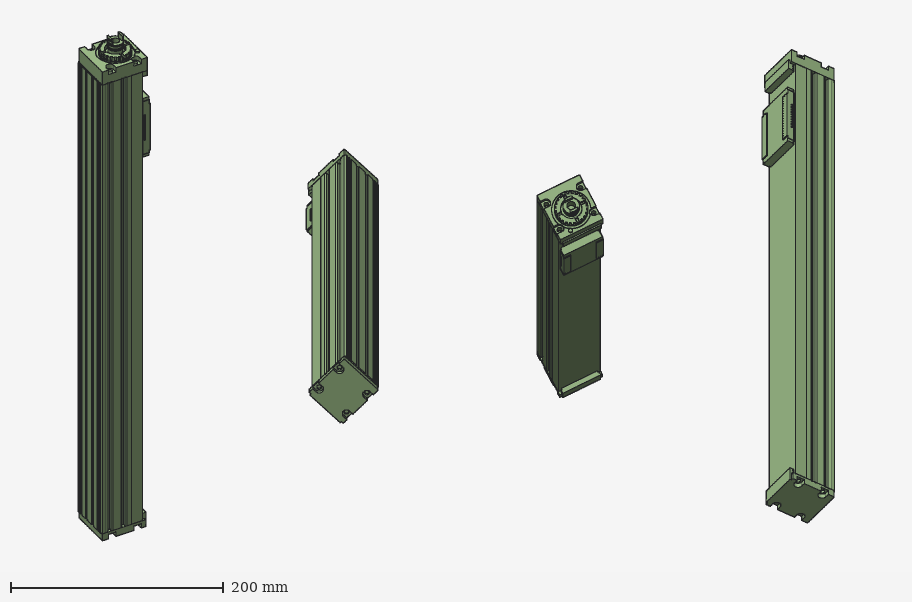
import cadquery as cq

WIDTH = 45.0
HALF_WIDTH = WIDTH / 2
TOTAL_HEIGHT = 554.2

CAP_FRONT_Y = 1.2
TOP_CAP_BACK_Y = 50.0
BOTTOM_CAP_BACK_Y = 48.5
BOTTOM_CAP_HEIGHT = 8.0
TOP_CAP_HEIGHT = 15.0
TOP_CAP_TOP_Z = 535.5
TOP_CAP_BOTTOM_Z = TOP_CAP_TOP_Z - TOP_CAP_HEIGHT
CAP_BEVEL_X = 1.6
CAP_BEVEL_Y = 0.3

FOOT_HEIGHT = 1.2
FOOT_INSET = 1.0

LUG_WIDTH = 40.0
TOP_LUG_BACK_Y = 51.5
TOP_LUG_BOTTOM_Z = 513.0
TOP_LUG_TOP_Z = 524.0
BOTTOM_LUG_BACK_Y = 50.0
BOTTOM_LUG_TOP_Z = 14.5

SCREW_X = 18.0
SCREW_Y = (12.0, 39.5)
SEAT_DIAMETER = 8.0
SEAT_DEPTH = 5.0
SCREW_HOLE_DIAMETER = 4.5

PROFILE_DEPTH = 45.0
PROFILE_LENGTH = TOP_CAP_BOTTOM_Z - BOTTOM_CAP_HEIGHT
FRONT_SLOT_INNER_X = 4.2
FRONT_SLOT_OUTER_X = 7.5
FRONT_SLOT_DEPTH = 1.2
FINE_GROOVE_X = (14.2, 17.5)
FINE_GROOVE_WIDTH = 1.7
CORNER_BEVEL_X = 1.6
CORNER_BEVEL_Y = 1.2
SIDE_STEP_Y = 32.8
SIDE_STEP_DEPTH = 0.3
SIDE_SLOT_DEPTH = 4.0
SIDE_SLOT_BEVEL = 1.0
UPPER_SLOT = {"mouth": (21.2, 27.8), "slot": (22.8, 26.2)}
LOWER_SLOT = {"mouth": (4.4, 12.8), "slot": (7.8, 11.1)}

CARRIAGE_WIDTH = 42.0
CARRIAGE_BACK_Y = 53.0
CARRIAGE_BOTTOM_Z = 421.5
CARRIAGE_TOP_Z = 488.5
END_PLATE_THICKNESS = 3.2
END_PLATE_INSET = 0.5
PAD_BACK_Y = 54.0
PAD_WIDTH = 7.5
PAD_BOTTOM_Z = 427.5
PAD_TOP_Z = 480.5
SIDE_RECESS_Y = (47.6, 48.6)
SIDE_RECESS_Z = (440.5, 469.0)
SIDE_RECESS_DEPTH = 1.0

DRIVE_Y = 28.2
PILOT_DIAMETER = 31.8
PILOT_BORE = 20.0
PILOT_HEIGHT = 4.6
SPOKE_SLOT_WIDTH = 2.4
SPOKE_SLOT_DEPTH = 3.5
SPOKE_SLOT_COUNT = 4
RIM_INNER_DIAMETER = 28.6
RIM_SLOT_WIDTH = 1.7
RIM_SLOT_DEPTH = 4.0
RIM_SLOT_COUNT = 24
MOAT_DIAMETER = 37.0
MOAT_DEPTH = 1.5
PIN_X = 10.0
PIN_Y = 46.4
PIN_DIAMETER = 4.0
PIN_HEIGHT = 1.8

COUPLING_DIAMETER = 15.9
COUPLING_NECK_DIAMETER = 14.0
COUPLING_BORE = 8.0
COLLAR_HEIGHT = 1.8
COLLAR_BOTTOM_Z = (542.0, 547.0)
HUB_TOP_Z = COLLAR_BOTTOM_Z[1] + COLLAR_HEIGHT
JAW_WIDTH = 8.3
JAW_STEM_DIAMETER = 14.2
JAW_HEAD_DIAMETER = 15.4
JAW_HEAD_HEIGHT = 2.2
JAW_INNER_RADIUS = 5.2


def block(x_range, y_range, z_range):
    """Box given by its limits along each axis."""
    sizes = [high - low for low, high in (x_range, y_range, z_range)]
    return cq.Workplane("XY").box(*sizes, centered=False).translate((x_range[0], y_range[0], z_range[0]))


def centred_block(width, y_range, z_range):
    """Box centred on X = 0."""
    return block((-width / 2, width / 2), y_range, z_range)


def footed_block(width, back_y, z_range):
    """Block on the profile's back face whose foot is narrower than its body."""
    foot_top_y = PROFILE_DEPTH + FOOT_HEIGHT
    foot = centred_block(width - 2 * FOOT_INSET, (PROFILE_DEPTH, foot_top_y), z_range)
    return foot.union(centred_block(width, (foot_top_y, back_y), z_range))


def disc(diameter, x, y, z_range):
    """Vertical cylinder."""
    bottom, top = z_range
    return cq.Workplane("XY").workplane(offset=bottom).center(x, y).circle(diameter / 2).extrude(top - bottom)


def bevelled_plate(back_y, bottom, top):
    """Cap plate whose two front vertical corners are bevelled."""
    face_x = HALF_WIDTH - CAP_BEVEL_X
    shoulder_y = CAP_FRONT_Y + CAP_BEVEL_Y
    outline = [
        (-face_x, CAP_FRONT_Y),
        (face_x, CAP_FRONT_Y),
        (HALF_WIDTH, shoulder_y),
        (HALF_WIDTH, back_y),
        (-HALF_WIDTH, back_y),
        (-HALF_WIDTH, shoulder_y),
    ]
    return cq.Workplane("XY").workplane(offset=bottom).polyline(outline).close().extrude(top - bottom)


def cut_screw_seats(cap, cap_z_range, seat_z_range):
    """Four through holes with round seats that run out through the side faces."""
    for side in (-1, 1):
        for y in SCREW_Y:
            x = side * SCREW_X
            run_out_x = sorted((x, side * HALF_WIDTH))
            run_out_y = (y - SEAT_DIAMETER / 2, y + SEAT_DIAMETER / 2)
            cap = cap.cut(disc(SCREW_HOLE_DIAMETER, x, y, cap_z_range))
            cap = cap.cut(disc(SEAT_DIAMETER, x, y, seat_z_range))
            cap = cap.cut(block(run_out_x, run_out_y, seat_z_range))
    return cap


def make_bottom_cap():
    cap = bevelled_plate(BOTTOM_CAP_BACK_Y, 0, BOTTOM_CAP_HEIGHT)
    lug = footed_block(LUG_WIDTH, BOTTOM_LUG_BACK_Y, (0, BOTTOM_LUG_TOP_Z))
    return cut_screw_seats(cap.union(lug), (0, BOTTOM_CAP_HEIGHT), (0, SEAT_DEPTH))


def make_top_cap():
    cap_z = (TOP_CAP_BOTTOM_Z, TOP_CAP_TOP_Z)
    cap = bevelled_plate(TOP_CAP_BACK_Y, *cap_z)
    cap = cap.union(footed_block(LUG_WIDTH, TOP_LUG_BACK_Y, (TOP_LUG_BOTTOM_Z, TOP_LUG_TOP_Z)))
    cap = cut_screw_seats(cap, cap_z, (TOP_CAP_TOP_Z - SEAT_DEPTH, TOP_CAP_TOP_Z))
    moat_z = (TOP_CAP_TOP_Z - MOAT_DEPTH, TOP_CAP_TOP_Z)
    moat = disc(MOAT_DIAMETER, 0, DRIVE_Y, moat_z).cut(disc(PILOT_DIAMETER, 0, DRIVE_Y, moat_z))
    cap = cap.cut(moat)
    return cap.union(disc(PIN_DIAMETER, PIN_X, PIN_Y, (cap_z[0], TOP_CAP_TOP_Z + PIN_HEIGHT)))


def extrude_along_profile(outline):
    return (
        cq.Workplane("XY").workplane(offset=BOTTOM_CAP_HEIGHT).polyline(outline).close().extrude(PROFILE_LENGTH)
    )


def side_slot(side, limits):
    """Prism that cuts a slot with a bevelled mouth into one side face."""
    mouth_low, mouth_high = limits["mouth"]
    slot_low, slot_high = limits["slot"]
    face_x = side * HALF_WIDTH
    bevel_x = side * (HALF_WIDTH - SIDE_SLOT_BEVEL)
    floor_x = side * (HALF_WIDTH - SIDE_SLOT_DEPTH)
    outline = [
        (face_x, mouth_low),
        (bevel_x, slot_low),
        (floor_x, slot_low),
        (floor_x, slot_high),
        (bevel_x, slot_high),
        (face_x, mouth_high),
    ]
    return extrude_along_profile(outline)


def corner_bevel(side):
    """Prism that bevels one front corner of the profile."""
    face_x = side * HALF_WIDTH
    inner_x = side * (HALF_WIDTH - CORNER_BEVEL_X)
    return extrude_along_profile([(face_x, 0), (inner_x, 0), (face_x, CORNER_BEVEL_Y)])


def make_profile():
    length_z = (BOTTOM_CAP_HEIGHT, TOP_CAP_BOTTOM_Z)
    profile = centred_block(WIDTH, (0, PROFILE_DEPTH), length_z)
    front_slots = [(FRONT_SLOT_INNER_X, FRONT_SLOT_OUTER_X)]
    front_slots += [(x, x + FINE_GROOVE_WIDTH) for x in FINE_GROOVE_X]
    for side in (-1, 1):
        for inner_x, outer_x in front_slots:
            slot_x = sorted((side * inner_x, side * outer_x))
            profile = profile.cut(block(slot_x, (0, FRONT_SLOT_DEPTH), length_z))
        for limits in (UPPER_SLOT, LOWER_SLOT):
            profile = profile.cut(side_slot(side, limits))
        profile = profile.cut(corner_bevel(side))
        step_x = sorted((side * (HALF_WIDTH - SIDE_STEP_DEPTH), side * HALF_WIDTH))
        profile = profile.cut(block(step_x, (SIDE_STEP_Y, PROFILE_DEPTH), length_z))
    return profile


def make_carriage():
    """Carriage body between two narrower end plates, with a raised pad along each side."""
    body_bottom = CARRIAGE_BOTTOM_Z + END_PLATE_THICKNESS
    body_top = CARRIAGE_TOP_Z - END_PLATE_THICKNESS
    carriage = footed_block(CARRIAGE_WIDTH, CARRIAGE_BACK_Y, (body_bottom, body_top))
    plate_width = CARRIAGE_WIDTH - 2 * END_PLATE_INSET
    for plate_z in ((CARRIAGE_BOTTOM_Z, body_bottom), (body_top, CARRIAGE_TOP_Z)):
        carriage = carriage.union(footed_block(plate_width, CARRIAGE_BACK_Y, plate_z))
    half = CARRIAGE_WIDTH / 2
    for side in (-1, 1):
        pad_x = sorted((side * (half - PAD_WIDTH), side * half))
        carriage = carriage.union(block(pad_x, (CARRIAGE_BACK_Y, PAD_BACK_Y), (PAD_BOTTOM_Z, PAD_TOP_Z)))
        recess_x = sorted((side * (half - SIDE_RECESS_DEPTH), side * half))
        carriage = carriage.cut(block(recess_x, SIDE_RECESS_Y, SIDE_RECESS_Z))
    return carriage


def cut_radial_slots(ring, count, width, inner_radius, z_range):
    """Evenly spaced slots that run outwards through the ring from the inner radius."""
    slot = block((inner_radius, PILOT_DIAMETER), (-width / 2, width / 2), z_range)
    for index in range(count):
        angle = index * 360 / count
        ring = ring.cut(slot.rotate((0, 0, 0), (0, 0, 1), angle).translate((0, DRIVE_Y, 0)))
    return ring


def make_pilot_ring():
    """Ring around the coupling, with four spoke slots and a notched rim."""
    top = TOP_CAP_TOP_Z + PILOT_HEIGHT
    ring_z = (TOP_CAP_TOP_Z, top)
    ring = disc(PILOT_DIAMETER, 0, DRIVE_Y, ring_z).cut(disc(PILOT_BORE, 0, DRIVE_Y, ring_z))
    spoke_z = (top - SPOKE_SLOT_DEPTH, top)
    ring = cut_radial_slots(ring, SPOKE_SLOT_COUNT, SPOKE_SLOT_WIDTH, 0, spoke_z)
    rim_z = (top - RIM_SLOT_DEPTH, top)
    return cut_radial_slots(ring, RIM_SLOT_COUNT, RIM_SLOT_WIDTH, RIM_INNER_DIAMETER / 2, rim_z)


def make_coupling():
    """Bored hub with two collars and a pair of headed jaws on its end."""
    hub = disc(COUPLING_NECK_DIAMETER, 0, DRIVE_Y, (TOP_CAP_TOP_Z, HUB_TOP_Z))
    for collar_z in COLLAR_BOTTOM_Z:
        hub = hub.union(disc(COUPLING_DIAMETER, 0, DRIVE_Y, (collar_z, collar_z + COLLAR_HEIGHT)))
    hub = hub.cut(disc(COUPLING_BORE, 0, DRIVE_Y, (TOP_CAP_TOP_Z, HUB_TOP_Z)))

    jaw_z = (HUB_TOP_Z, TOTAL_HEIGHT)
    jaws = disc(JAW_STEM_DIAMETER, 0, DRIVE_Y, jaw_z)
    jaws = jaws.union(disc(JAW_HEAD_DIAMETER, 0, DRIVE_Y, (TOTAL_HEIGHT - JAW_HEAD_HEIGHT, TOTAL_HEIGHT)))
    jaws = jaws.intersect(centred_block(JAW_WIDTH, (0, PROFILE_DEPTH), jaw_z))
    gap_y = (DRIVE_Y - JAW_INNER_RADIUS, DRIVE_Y + JAW_INNER_RADIUS)
    return hub.union(jaws.cut(centred_block(WIDTH, gap_y, jaw_z)))


profile = make_profile()
bottom_cap = make_bottom_cap()
top_cap = make_top_cap()
carriage = make_carriage()
pilot_ring = make_pilot_ring()
coupling = make_coupling()

result = cq.Compound.makeCompound(
    [body.val() for body in (profile, bottom_cap, top_cap, carriage, pilot_ring, coupling)]
)